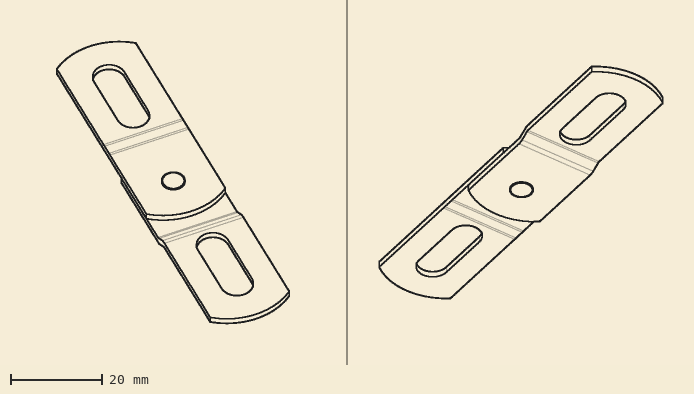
import cadquery as cq
import math

length = 88.4
width = 19.0
thickness = 1.5
end_radius = 15.5
lap_reach = 10.0
slot_length = 20.0
slot_width = 7.25
slot_inset = 16.5
bend_start = 12.8
bend_end = 16.3
lower_bend_radius = 1.6
upper_bend_radius = -88.4
upper_jog = -0.02
pivot_x = 0.2
rivet_diameter = 5.1
rivet_chamfer = 0.2

half_length = length / 2


def bent_strip(jog, bend_radius, outer_reach):
    """Flat lap on Z = 0, a bend, then an outer flat raised by jog (down if negative); runs along +X."""
    run = bend_end - bend_start
    reach = math.hypot(run, jog - 2 * bend_radius)
    angle = math.asin(2 * bend_radius / reach) - math.atan2(2 * bend_radius - jog, run)
    half = thickness / 2
    first_centre = (bend_start, half + bend_radius)
    second_centre = (bend_end, half + jog - bend_radius)

    def bend_point(centre, radius, turn):
        return (centre[0] + radius * math.sin(turn), centre[1] - radius * math.cos(turn))

    def face(offset, reverse):
        """Points along a face lying offset above the middle surface."""
        inner = bend_radius - offset
        outer = -(bend_radius + offset)
        points = [bend_point(first_centre, inner, a) for a in (0, angle / 2, angle)]
        points += [bend_point(second_centre, outer, a) for a in (angle, angle / 2, 0)]
        return points[::-1] if reverse else points

    bottom = face(-half, False)
    top = face(half, True)
    return (
        cq.Workplane("XZ")
        .moveTo(-lap_reach, 0)
        .lineTo(*bottom[0])
        .threePointArc(bottom[1], bottom[2])
        .lineTo(*bottom[3])
        .threePointArc(bottom[4], bottom[5])
        .lineTo(outer_reach, jog)
        .lineTo(outer_reach, jog + thickness)
        .lineTo(*top[0])
        .threePointArc(top[1], top[2])
        .lineTo(*top[3])
        .threePointArc(top[4], top[5])
        .lineTo(-lap_reach, thickness)
        .close()
        .extrude(width / 2, both=True)
    )


def outline_prism(outer_reach):
    """Tall prism of the plan outline: straight sides and bowed ends."""
    half_width = width / 2
    bow = end_radius - math.sqrt(end_radius**2 - half_width**2)
    return (
        cq.Workplane("XY")
        .workplane(offset=-half_length)
        .moveTo(-lap_reach + bow, -half_width)
        .lineTo(outer_reach - bow, -half_width)
        .threePointArc((outer_reach, 0), (outer_reach - bow, half_width))
        .lineTo(-lap_reach + bow, half_width)
        .threePointArc((-lap_reach, 0), (-lap_reach + bow, -half_width))
        .close()
        .extrude(length)
    )


def make_plate(jog, bend_radius, outer_reach):
    """Cranked link with a slot in its outer flat and a rivet hole at the origin."""
    slot = (
        cq.Workplane("XY")
        .center(outer_reach - slot_inset, 0)
        .slot2D(slot_length, slot_width)
        .extrude(length, both=True)
    )
    hole = cq.Workplane("XY").circle(rivet_diameter / 2).extrude(length, both=True)
    return bent_strip(jog, bend_radius, outer_reach).intersect(outline_prism(outer_reach)).cut(slot).cut(hole)


def make_rivet():
    """Flush rivet through both plates, with chamfered rims."""
    return (
        cq.Workplane("XY")
        .circle(rivet_diameter / 2)
        .extrude(2 * thickness)
        .faces("<Z or >Z")
        .chamfer(rivet_chamfer)
    )


lower_plate = make_plate(thickness, lower_bend_radius, half_length - pivot_x).translate((pivot_x, 0, 0))
upper_plate = (
    make_plate(upper_jog, upper_bend_radius, half_length + pivot_x)
    .rotate((0, 0, 0), (0, 0, 1), 180)
    .translate((pivot_x, 0, thickness))
)
rivet = make_rivet().translate((pivot_x, 0, 0))

result = cq.Compound.makeCompound([lower_plate.val(), upper_plate.val(), rivet.val()])